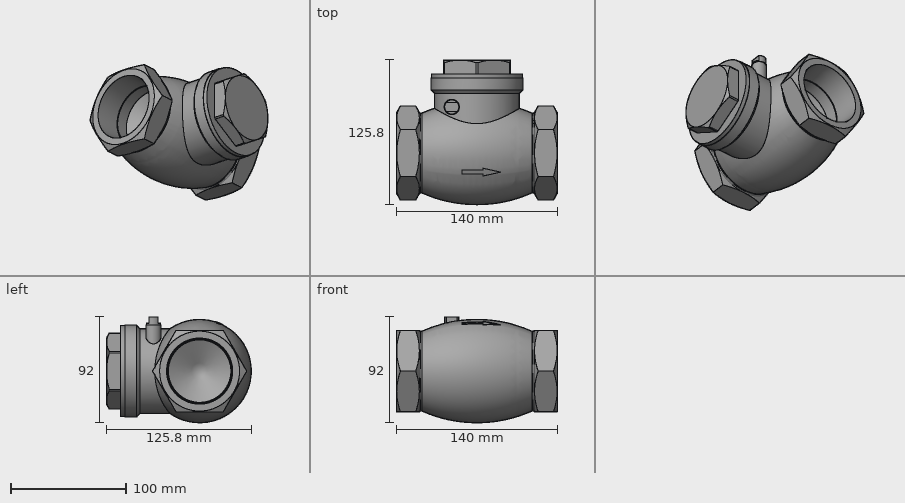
import cadquery as cq
import math


length = 140.0
half_length = length / 2

nut_across_flats = 70.8
nut_corner_radius = nut_across_flats / math.sqrt(3)
nut_face_radius = 34.7
chamfer_angle = math.radians(30)
nut_chamfer = (nut_corner_radius - nut_face_radius) * math.tan(chamfer_angle)
nut_corner_length = 13.3
nut_length = nut_corner_length + 2 * nut_chamfer

collar_radius = nut_face_radius
collar_fillet = 1.4
barrel_half_length = 47.7
barrel_radius = 45.0

socket_mouth_radius = 28.7
socket_depth = 24.8
thread_taper = 1 / 32
socket_end_radius = socket_mouth_radius - socket_depth * thread_taper
bore_radius = 27.2
bore_depth = 36.5
drill_half_angle = math.radians(59)

neck_radius = 37.0
flange_radius = 40.0
flange_chamfer = flange_radius - neck_radius
flange_start = 51.8
flange_height = 13.2
cover_radius = 39.6
cover_height = 3.8
cover_start = flange_start + flange_height
cap_start = cover_start + cover_height
cap_height = 12.0
cap_across_flats = 58.0
cap_corner_radius = 33.0
cap_face_radius = cap_across_flats / 2
cap_chamfer = (cap_corner_radius - cap_face_radius) * math.tan(chamfer_angle)

stem_x = -21.8
stem_y = 40.0
boss_radius = 6.6
boss_top = 40.2
stem_radius = 6.2
stem_top = 47.0
flats_width = 8.0
flats_start = 41.6

arrow_tail_x = -12.9
arrow_neck_x = 5.3
arrow_tip_x = 20.6
arrow_y = -16.5
arrow_shaft_width = 3.4
arrow_head_width = 6.7
arrow_relief = 0.35


def revolve_about_x(profile):
    return profile.close().revolve(360, (0, 0, 0), (1, 0, 0))


def barrel(offset=0.0):
    """Barrel of revolution with a circular-arc outline, grown outward by offset."""
    end_radius = collar_radius + offset
    outline = (
        cq.Workplane("XY")
        .moveTo(-barrel_half_length, 0)
        .lineTo(-barrel_half_length, end_radius)
        .threePointArc((0, barrel_radius + offset), (barrel_half_length, end_radius))
        .lineTo(barrel_half_length, 0)
    )
    return revolve_about_x(outline)


def hex_end():
    """Hexagonal end at -X, chamfered on both sides, corners pointing along Y."""
    outer = -half_length
    inner = outer + nut_length
    prism = (
        cq.Workplane("YZ", origin=(outer, 0, 0))
        .polygon(6, 2 * nut_corner_radius)
        .extrude(nut_length)
    )
    envelope = revolve_about_x(
        cq.Workplane("XY")
        .moveTo(outer, 0)
        .lineTo(outer, nut_face_radius)
        .lineTo(outer + nut_chamfer, nut_corner_radius)
        .lineTo(inner - nut_chamfer, nut_corner_radius)
        .lineTo(inner, nut_face_radius)
        .lineTo(inner, 0)
    )
    return prism.intersect(envelope)


def collar():
    """Collar at -X, blended into the sloping inner side of the hexagonal end."""
    corner_x = -half_length + nut_length
    turn = math.pi / 2 - chamfer_angle
    tangent = collar_fillet * math.tan(turn / 2)
    arc_end_x = corner_x + tangent
    arc_centre_r = collar_radius + collar_fillet

    def arc_point(angle):
        return (
            arc_end_x - collar_fillet * math.sin(angle),
            arc_centre_r - collar_fillet * math.cos(angle),
        )

    slope_point = arc_point(turn)
    return revolve_about_x(
        cq.Workplane("XY")
        .moveTo(slope_point[0], 0)
        .lineTo(*slope_point)
        .threePointArc(arc_point(turn / 2), (arc_end_x, collar_radius))
        .lineTo(-barrel_half_length, collar_radius)
        .lineTo(-barrel_half_length, 0)
    )


def socket():
    """Blind socket at -X: tapered thread bore, plain bore and conical bottom."""
    mouth = -half_length
    bore_end = mouth + bore_depth
    apex = bore_end + bore_radius / math.tan(drill_half_angle)
    return revolve_about_x(
        cq.Workplane("XY")
        .moveTo(mouth, 0)
        .lineTo(mouth, socket_mouth_radius)
        .lineTo(mouth + socket_depth, socket_end_radius)
        .lineTo(mouth + socket_depth, bore_radius)
        .lineTo(bore_end, bore_radius)
        .lineTo(apex, 0)
    )


def bonnet():
    """Neck, chamfered flange and cover disc, revolved about Y."""
    return (
        cq.Workplane("XY")
        .lineTo(neck_radius, 0)
        .lineTo(neck_radius, flange_start)
        .lineTo(flange_radius, flange_start + flange_chamfer)
        .lineTo(flange_radius, cover_start)
        .lineTo(cover_radius, cover_start)
        .lineTo(cover_radius, cap_start)
        .lineTo(0, cap_start)
        .close()
        .revolve(360, (0, 0, 0), (0, 1, 0))
    )


def cap():
    """Hexagonal cap with corners along Z, turned down and chamfered at its top."""
    cap_top = cap_start + cap_height
    prism = (
        cq.Workplane("XZ", origin=(0, cap_start, 0))
        .transformed(rotate=(0, 0, 90))
        .polygon(6, cap_across_flats * 2 / math.sqrt(3))
        .extrude(-cap_height)
    )
    envelope = (
        cq.Workplane("XY")
        .moveTo(0, cap_start)
        .lineTo(cap_corner_radius, cap_start)
        .lineTo(cap_corner_radius, cap_top - cap_chamfer)
        .lineTo(cap_face_radius, cap_top)
        .lineTo(0, cap_top)
        .close()
        .revolve(360, (0, 0, 0), (0, 1, 0))
    )
    return prism.intersect(envelope)


def stem():
    """Boss rising from the neck, topped by a stem with two flats facing +Y and -Y."""
    axis = cq.Workplane("XY").center(stem_x, stem_y)
    boss = axis.circle(boss_radius).extrude(boss_top)
    shaft = axis.circle(stem_radius).extrude(stem_top)
    flats = (
        axis.workplane(offset=flats_start)
        .rect(2 * stem_radius, flats_width)
        .extrude(stem_top - flats_start)
    )
    full_round = axis.circle(stem_radius).extrude(flats_start)
    return boss.union(full_round).union(shaft.intersect(flats))


def flow_arrow():
    """Arrow pointing to +X, standing slightly proud of the top of the barrel."""
    half_shaft = arrow_shaft_width / 2
    half_head = arrow_head_width / 2
    prism = (
        cq.Workplane("XY")
        .center(0, arrow_y)
        .moveTo(arrow_tail_x, -half_shaft)
        .lineTo(arrow_neck_x, -half_shaft)
        .lineTo(arrow_neck_x, -half_head)
        .lineTo(arrow_tip_x, 0)
        .lineTo(arrow_neck_x, half_head)
        .lineTo(arrow_neck_x, half_shaft)
        .lineTo(arrow_tail_x, half_shaft)
        .close()
        .extrude(barrel_radius + arrow_relief)
    )
    return prism.intersect(barrel(arrow_relief))


pipe_end = hex_end().union(collar())
body = barrel().union(pipe_end).union(pipe_end.mirror("YZ"))
body = body.union(bonnet()).union(cap()).union(stem()).union(flow_arrow())
result = body.cut(socket()).cut(socket().mirror("YZ"))